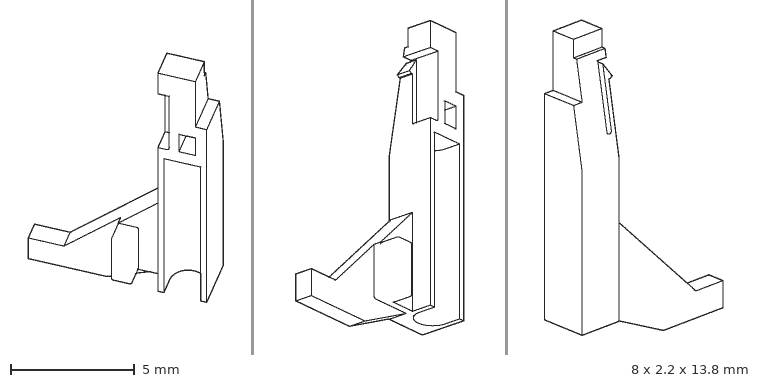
import cadquery as cq


COLUMN_WIDTH = 2.08
COLUMN_DEPTH = 2.2
COLUMN_HEIGHT = 12.6
SHOULDER_WIDTH = 0.48
SHOULDER_Z = 9.98

TAPER_START_Z = 7.2
LEDGE_Z = 11.78
LEDGE_DEPTH = 1.38
HEAD_DEPTH = 1.2

CHANNEL_WIDTH = 1.56
CHANNEL_DEPTH = 1.55
CHANNEL_TOP_Z = 7.74

WINDOW_WIDTH = 0.7
WINDOW_BOTTOM_Z = 8.34
WINDOW_TOP_Z = 9.34
WINDOW_DEPTH = 0.95

LATCH_THICKNESS = 0.23
LATCH_FRONT_Y = 0.95
LATCH_TOP_Z = 11.2
SLOT_WIDTH = 0.25
SLOT_BOTTOM_Z = 8.3
SLOT_TOP_Z = 11.4
HOOK_REACH = 0.2
HOOK_HEEL = 0.07
HOOK_TIP_Z = 10.58
HOOK_BOTTOM_Z = 10.5

ARM_REACH = 5.92
ARM_DROP = 1.2
ARM_FRONT_Y = 1.29
ARM_BACK_Y = 2.12
BRACE_REACH = 4.4
BRACE_TOP_Z = 4.38
ARM_BOTTOM_BEND_X = -2.57

PAD_REACH = 2.0
PAD_FRONT_Y = 0.95
PEG_WIDTH = 0.88
PEG_HEIGHT = 2.4
PEG_ROUNDING = 0.09


def front_block(x_min, x_max, y_min, y_max, z_min, z_max):
    """Axis-aligned block given by its limits."""
    size = (x_max - x_min, y_max - y_min, z_max - z_min)
    return cq.Workplane("XY").box(*size, centered=False).translate((x_min, y_min, z_min))


def front_plate(outline, y_min, y_max):
    """Plate with an (X, Z) outline, reaching from y_min back to y_max."""
    return cq.Workplane("XZ", origin=(0, y_min, 0)).polyline(outline).close().extrude(y_min - y_max)


def side_envelope(x_min, x_max):
    """Side profile of the column, with its tapered back, over a range of X."""
    profile = [
        (0, 0),
        (COLUMN_DEPTH, 0),
        (COLUMN_DEPTH, TAPER_START_Z),
        (LEDGE_DEPTH, LEDGE_Z),
        (HEAD_DEPTH, LEDGE_Z),
        (HEAD_DEPTH, COLUMN_HEIGHT),
        (0, COLUMN_HEIGHT),
    ]
    plane = cq.Workplane("YZ", origin=(x_min, 0, 0))
    return plane.polyline(profile).close().extrude(x_max - x_min)


def channel():
    radius = CHANNEL_WIDTH / 2
    center_x = COLUMN_WIDTH / 2
    wall_depth = CHANNEL_DEPTH - radius
    return (
        cq.Workplane("XY")
        .moveTo(center_x - radius, 0)
        .lineTo(center_x - radius, wall_depth)
        .threePointArc((center_x, CHANNEL_DEPTH), (center_x + radius, wall_depth))
        .lineTo(center_x + radius, 0)
        .close()
        .extrude(CHANNEL_TOP_Z)
    )


def window():
    right = COLUMN_WIDTH - SHOULDER_WIDTH
    return front_block(right - WINDOW_WIDTH, right, 0, WINDOW_DEPTH, WINDOW_BOTTOM_Z, WINDOW_TOP_Z)


def latch_clearance():
    """Round-bottomed slot, open to the left in front of and above the latch."""
    slot_right = LATCH_THICKNESS + SLOT_WIDTH
    bottom_radius = SLOT_WIDTH / 2
    center_x = LATCH_THICKNESS + bottom_radius
    arc_end_z = SLOT_BOTTOM_Z + bottom_radius
    slot = (
        cq.Workplane("XZ")
        .moveTo(LATCH_THICKNESS, SLOT_TOP_Z)
        .lineTo(LATCH_THICKNESS, arc_end_z)
        .threePointArc((center_x, SLOT_BOTTOM_Z), (slot_right, arc_end_z))
        .lineTo(slot_right, SLOT_TOP_Z)
        .close()
        .extrude(-COLUMN_DEPTH)
    )
    front_gap = front_block(0, center_x, 0, LATCH_FRONT_Y, SLOT_BOTTOM_Z, SLOT_TOP_Z)
    top_gap = front_block(0, slot_right, 0, COLUMN_DEPTH, LATCH_TOP_Z, SLOT_TOP_Z)
    return slot.union(front_gap).union(top_gap)


def latch_bevel():
    """Corner removed from the latch above its sloping hook face."""
    slope = (LATCH_TOP_Z - HOOK_TIP_Z) / (LATCH_THICKNESS + HOOK_REACH)
    left_z = LATCH_TOP_Z - slope * LATCH_THICKNESS
    outline = [(0, left_z), (LATCH_THICKNESS, LATCH_TOP_Z), (0, LATCH_TOP_Z)]
    return front_plate(outline, LATCH_FRONT_Y, COLUMN_DEPTH)


def hook():
    outline = [
        (LATCH_THICKNESS, LATCH_TOP_Z),
        (-HOOK_REACH, HOOK_TIP_Z),
        (-HOOK_HEEL, HOOK_BOTTOM_Z),
        (LATCH_THICKNESS, HOOK_BOTTOM_Z),
    ]
    plate = front_plate(outline, LATCH_FRONT_Y, COLUMN_DEPTH)
    return plate.intersect(side_envelope(-HOOK_REACH, LATCH_THICKNESS))


def column():
    shoulder_left = COLUMN_WIDTH - SHOULDER_WIDTH
    shoulder_cut = front_block(
        shoulder_left, COLUMN_WIDTH, 0, COLUMN_DEPTH, SHOULDER_Z, COLUMN_HEIGHT
    )
    body = side_envelope(0, COLUMN_WIDTH)
    for removed in (shoulder_cut, channel(), window(), latch_clearance(), latch_bevel()):
        body = body.cut(removed)
    return body.union(hook())


def arm():
    outline = [
        (0, 0),
        (0, BRACE_TOP_Z),
        (-BRACE_REACH, 0),
        (-ARM_REACH, 0),
        (-ARM_REACH, -ARM_DROP),
        (ARM_BOTTOM_BEND_X, -ARM_DROP),
    ]
    return front_plate(outline, ARM_FRONT_Y, ARM_BACK_Y)


def pad():
    """Thickening of the arm below the brace slope, next to the column."""
    left_top_z = BRACE_TOP_Z * (1 - PAD_REACH / BRACE_REACH)
    outline = [(0, 0), (0, BRACE_TOP_Z), (-PAD_REACH, left_top_z), (-PAD_REACH, 0)]
    plate = front_plate(outline, PAD_FRONT_Y, ARM_FRONT_Y)
    return plate.edges("|Y and <X and <Z").fillet(PEG_ROUNDING)


def peg():
    block = front_block(-PAD_REACH, PEG_WIDTH - PAD_REACH, 0, PAD_FRONT_Y, 0, PEG_HEIGHT)
    return block.edges("not >Y").fillet(PEG_ROUNDING)


result = column().union(arm()).union(pad()).union(peg())